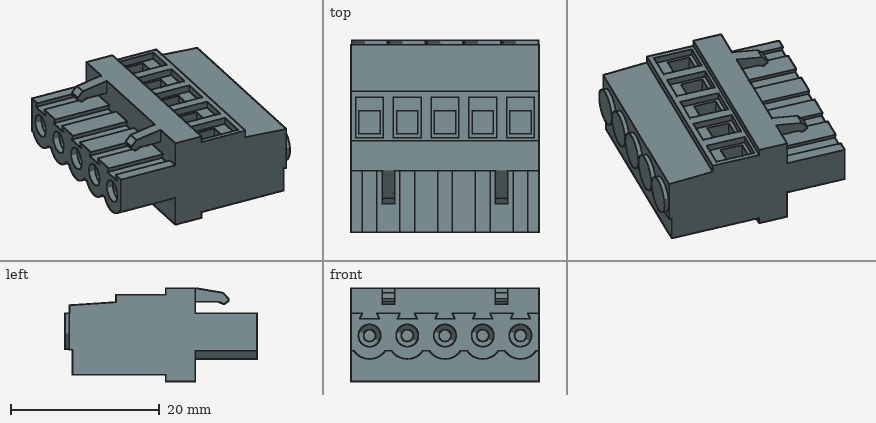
import cadquery as cq


POLES = 5
PITCH = 5.08
WIDTH = 25.33
POLE_X = [(i - (POLES - 1) / 2) * PITCH for i in range(POLES)]

LENGTH = 25.9
COLLAR_FRONT = 8.31
COLLAR_BACK = 12.33
DECK_BACK = 19.0
LOWER_BACK = 24.9
UPPER_BACK = 25.28

HEIGHT = 12.6
BASE = 0.88
OVERHANG = 4.27
ROOF_BACK = 10.28
ROOF_FRONT = 10.7
DECK = 11.7

NOSE_TOP = 9.2
NOSE_BOTTOM = 4.17
LOBE_BOTTOM = 3.03
LOBE_HALF_WIDTH = 2.12
GROOVE_DEPTH = 0.75
GROOVE_TOP_WIDTH = 1.97
GROOVE_FLOOR_WIDTH = 2.65

SOCKET_Z = 6.2
SOCKET_RADIUS = 1.5
SOCKET_DEPTH = 0.9
SOCKET_END_RADIUS = 0.8
SOCKET_TAPER = 0.78

RECESS_WIDTH = 3.73
RECESS_FRONT = 12.77
RECESS_BACK = 18.23
RECESS_DEPTH = 0.93
SHAFT_WIDTH = 2.85
SHAFT_FRONT = 13.3
SHAFT_BACK = 16.4
SHAFT_FLOOR = SOCKET_Z

SCREW_RADIUS = 2.43
SCREW_Z = 6.79

HOOK_WIDTH = 1.65
HOOK_X = [-1.5 * PITCH, 1.5 * PITCH]
HOOK_TIP = 3.85
HOOK_UNDERSIDE = 10.72
HOOK_PROFILE = [
    (COLLAR_FRONT, HEIGHT),
    (4.64, 11.97),
    (HOOK_TIP, 11.15),
    (HOOK_TIP, 10.83),
    (4.45, 10.39),
    (5.25, HOOK_UNDERSIDE),
    (COLLAR_FRONT, HOOK_UNDERSIDE),
]


def span(x, width, y_range, z_range):
    """Box centred on x, between two Y and two Z values."""
    corner = (x - width / 2, y_range[0], z_range[0])
    size = (width, y_range[1] - y_range[0], z_range[1] - z_range[0])
    return cq.Workplane("XY").box(*size, centered=False).translate(corner)


def along_x(profile, x, width):
    """Closed (Y, Z) profile extruded along X, centred on x."""
    return cq.Workplane("YZ", origin=(x - width / 2, 0, 0)).polyline(profile).close().extrude(width)


def along_y(y):
    """Workplane at y with local axes X and Z; positive extrusions run towards -Y."""
    return cq.Workplane(cq.Plane(origin=(0, y, 0), xDir=(1, 0, 0), normal=(0, -1, 0)))


def housing():
    profile = [
        (COLLAR_FRONT, 0),
        (COLLAR_FRONT, HEIGHT),
        (COLLAR_BACK, HEIGHT),
        (COLLAR_BACK, DECK),
        (DECK_BACK, DECK),
        (DECK_BACK, ROOF_FRONT),
        (UPPER_BACK, ROOF_BACK),
        (UPPER_BACK, OVERHANG),
        (LOWER_BACK, OVERHANG),
        (LOWER_BACK, BASE),
        (COLLAR_BACK, BASE),
        (COLLAR_BACK, 0),
    ]
    return along_x(profile, 0, WIDTH)


def nose():
    """Plug nose with a rounded lobe under each pole and a dovetail groove above it."""
    outline = along_y(0).moveTo(-WIDTH / 2, NOSE_TOP)
    outline = outline.lineTo(-WIDTH / 2, NOSE_BOTTOM)
    for x in POLE_X:
        outline = outline.lineTo(x - LOBE_HALF_WIDTH, NOSE_BOTTOM)
        outline = outline.threePointArc((x, LOBE_BOTTOM), (x + LOBE_HALF_WIDTH, NOSE_BOTTOM))
    outline = outline.lineTo(WIDTH / 2, NOSE_BOTTOM).lineTo(WIDTH / 2, NOSE_TOP)
    for x in reversed(POLE_X):
        outline = outline.lineTo(x + GROOVE_TOP_WIDTH / 2, NOSE_TOP)
        outline = outline.lineTo(x + GROOVE_FLOOR_WIDTH / 2, NOSE_TOP - GROOVE_DEPTH)
        outline = outline.lineTo(x - GROOVE_FLOOR_WIDTH / 2, NOSE_TOP - GROOVE_DEPTH)
        outline = outline.lineTo(x - GROOVE_TOP_WIDTH / 2, NOSE_TOP)
    return outline.close().extrude(-COLLAR_FRONT)


def socket(x):
    """Round contact socket that ends in a taper with a flat floor."""
    depth = SOCKET_DEPTH + SOCKET_TAPER
    profile = [
        (0, 0),
        (SOCKET_RADIUS, 0),
        (SOCKET_RADIUS, SOCKET_DEPTH),
        (SOCKET_END_RADIUS, depth),
        (0, depth),
    ]
    turned = cq.Workplane("XY").polyline(profile).close().revolve(360, (0, 0, 0), (0, 1, 0))
    return turned.translate((x, 0, SOCKET_Z))


def wire_opening(x):
    """Shallow recess in the deck with a deeper shaft in its floor."""
    recess = span(x, RECESS_WIDTH, (RECESS_FRONT, RECESS_BACK), (DECK - RECESS_DEPTH, DECK))
    shaft = span(x, SHAFT_WIDTH, (SHAFT_FRONT, SHAFT_BACK), (SHAFT_FLOOR, DECK))
    return recess.union(shaft)


def screw_head(x):
    """Round screw head that stands out of the back, rooted inside the housing."""
    return along_y(LENGTH).center(x, SCREW_Z).circle(SCREW_RADIUS).extrude(LENGTH - LOWER_BACK)


result = housing().union(nose())
for hook_x in HOOK_X:
    result = result.union(along_x(HOOK_PROFILE, hook_x, HOOK_WIDTH))
for pole_x in POLE_X:
    result = result.union(screw_head(pole_x))
    result = result.cut(socket(pole_x)).cut(wire_opening(pole_x))